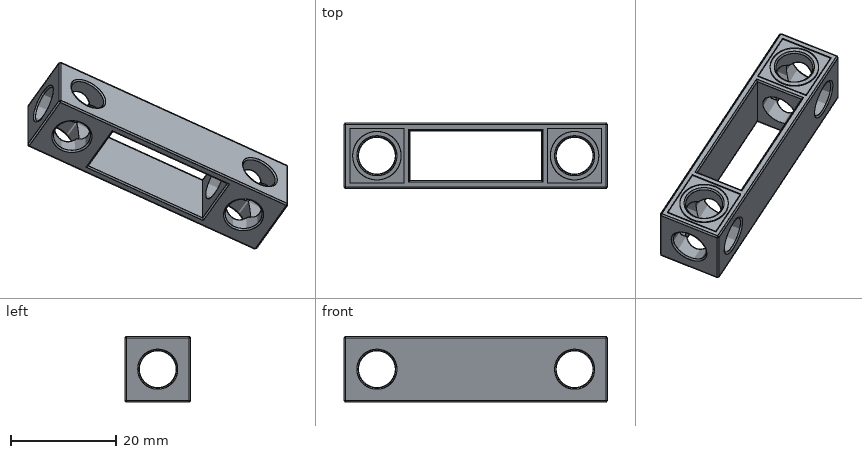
import cadquery as cq

length = 50.0
side = 12.5
edge_chamfer = 0.3

bore_diameter = 7.0
bore_chamfer = 0.3
end_centers = [(-(length - side) / 2, 0), ((length - side) / 2, 0)]

window_length = length - 2 * side
window_width = 9.4
window_chamfer = 0.3

recess_side = 10.3
recess_depth = 0.2
ring_diameter = 9.2


def chamfered_bore(plane, centers, depth):
    """Cutter for bores through the whole block, flared at both outer faces."""
    half = depth / 2
    radius = bore_diameter / 2
    profile = [
        (0, -half),
        (radius + bore_chamfer, -half),
        (radius, -half + bore_chamfer),
        (radius, half - bore_chamfer),
        (radius + bore_chamfer, half),
        (0, half),
    ]
    cutter = cq.Workplane("XZ").polyline(profile).close().revolve(360, (0, 0), (0, 1)).val()
    points = cq.Workplane(plane).pushPoints(centers)
    return points.eachpoint(lambda place: cutter.moved(place))


def top_recesses():
    """Square pockets at both ends, each with its raised ring left standing."""
    floor = cq.Workplane("XY").workplane(offset=side / 2 - recess_depth).pushPoints(end_centers)
    squares = floor.rect(recess_side, recess_side).extrude(recess_depth)
    rings = floor.circle(ring_diameter / 2).extrude(recess_depth)
    return squares.cut(rings)


def window():
    """Cutter for the through window, flared at the top and bottom faces."""
    cutter = cq.Workplane("XY").box(window_length, window_width, side)
    mouth_length = window_length + 2 * window_chamfer
    mouth_width = window_width + 2 * window_chamfer
    flare = (
        cq.Workplane("XY", origin=(0, 0, side / 2))
        .rect(mouth_length, mouth_width)
        .workplane(offset=-window_chamfer)
        .rect(window_length, window_width)
        .loft(ruled=True)
    )
    return cutter.union(flare).union(flare.mirror("XY"))


block = cq.Workplane("XY").box(length, side, side).edges().chamfer(edge_chamfer)

result = (
    block.cut(top_recesses())
    .cut(window())
    .cut(chamfered_bore("XY", end_centers, side))
    .cut(chamfered_bore("XZ", end_centers, side))
    .cut(chamfered_bore("YZ", [(0, 0)], length))
)